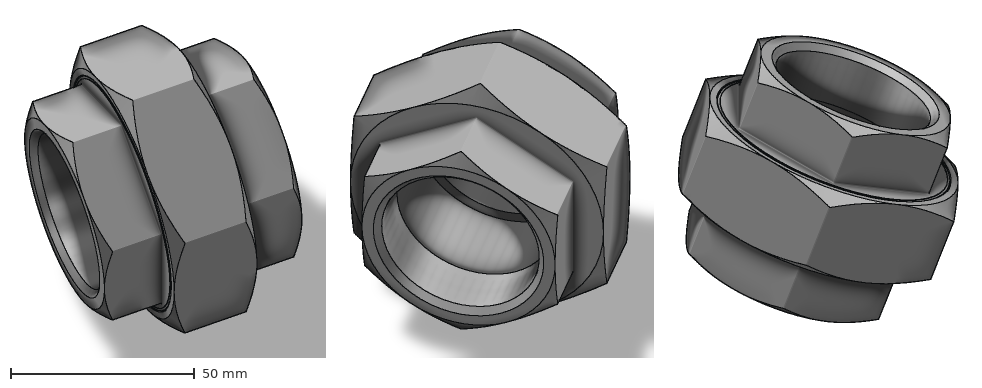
import cadquery as cq
import math

overall_length = 58.5
nut_across_flats = 72.0
nut_width = 24.5
end_across_flats = 55.0
hex_edge_radius = 0.3
root_radius = 0.5
hex_cone_angle = math.radians(30)

bore_diameter = 44.85
mouth_diameter = 48.5
mouth_depth = 1.8
undercut_diameter = 50.6
undercut_length = 26.6

nut_opening_diameter = 68.0
collar_diameter = 67.4
shoulder_diameter = 66.0
gap_depth = 1.0
step_depth = 0.2

hex_half_sector = 30
hex_corner_ratio = 1 / math.cos(math.radians(hex_half_sector))
half_length = overall_length / 2
half_nut = nut_width / 2


def cylinder(diameter, y_start, y_end):
    """Solid cylinder on the Y axis from y_start up to y_end."""
    return cq.Workplane("XZ", origin=(0, y_start, 0)).circle(diameter / 2).extrude(y_start - y_end)


def ring(outer_diameter, inner_diameter, y_start, y_end):
    return cylinder(outer_diameter, y_start, y_end).cut(cylinder(inner_diameter, y_start, y_end))


def revolve_about_y(profile):
    """Turn a closed outline of (radius, y) points about the Y axis."""
    return cq.Workplane("XY").polyline(profile).close().revolve(360, (0, 0, 0), (0, 1, 0))


def hexagon_bar(across_flats, length):
    """Hexagonal bar centred on the origin, with corners on the Z axis and softened long edges."""
    across_corners = across_flats * hex_corner_ratio
    return (
        cq.Workplane("XZ", origin=(0, length / 2, 0))
        .transformed(rotate=(0, 0, hex_half_sector))
        .polygon(6, across_corners)
        .extrude(length)
        .edges("|Y")
        .fillet(hex_edge_radius)
    )


def turned_envelope(across_flats, length):
    """Cylinder over the hexagon corners, coned at both ends down to the across-flats circle."""
    flat = across_flats / 2
    corner = flat * hex_corner_ratio
    end = length / 2
    cone_start = end - (corner - flat) * math.tan(hex_cone_angle)
    return revolve_about_y([
        (0, -end), (flat, -end), (corner, -cone_start),
        (corner, cone_start), (flat, end), (0, end),
    ])


def chamfered_hexagon(across_flats, length):
    return hexagon_bar(across_flats, length).intersect(turned_envelope(across_flats, length))


def outer_body():
    """Nut between two hexagonal ends, with a fillet where each end meets the nut."""
    nut = chamfered_hexagon(nut_across_flats, nut_width)
    ends = chamfered_hexagon(end_across_flats, overall_length)
    body = nut.union(ends)
    reach = shoulder_diameter / 2
    for face_y in (-half_nut, half_nut):
        low_corner = (-reach, face_y - root_radius, -reach)
        high_corner = (reach, face_y + root_radius, reach)
        root_edges = cq.selectors.BoxSelector(low_corner, high_corner, boundingbox=True)
        body = body.edges(root_edges).fillet(root_radius)
    return body


def bore():
    """Through bore with a coned mouth at each end and a wider relief in the middle."""
    mouth = mouth_diameter / 2
    wall = bore_diameter / 2
    relief = undercut_diameter / 2
    half_relief = undercut_length / 2
    mouth_end = half_length - mouth_depth
    return revolve_about_y([
        (0, -half_length), (mouth, -half_length), (wall, -mouth_end),
        (wall, -half_relief), (relief, -half_relief),
        (relief, half_relief), (wall, half_relief),
        (wall, mouth_end), (mouth, half_length), (0, half_length),
    ])


def collar_rings():
    """Clearance gap inside the nut opening, and the shallow step beside it."""
    gap = ring(nut_opening_diameter, collar_diameter, -half_nut, gap_depth - half_nut)
    step = ring(collar_diameter, shoulder_diameter, -half_nut, step_depth - half_nut)
    return gap.union(step)


result = outer_body().cut(bore()).cut(collar_rings())